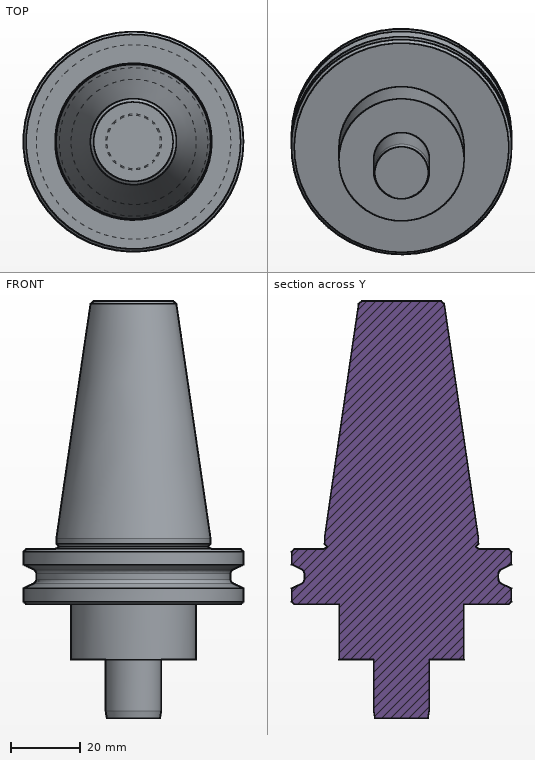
import cadquery as cq
import math

TOTAL_HEIGHT = 120.2

PIN_RADIUS = 8.0
PIN_TIP_RADIUS = 7.7
PIN_TIP_HEIGHT = 2.2

COLLAR_RADIUS = 18.0
COLLAR_BOTTOM = 17.0

FLANGE_RADIUS = 31.7
FLANGE_BOTTOM = 32.8
FLANGE_HEIGHT = 16.0
FLANGE_CHAMFER = 0.8
GROOVE_RADIUS = 28.0
GROOVE_MIDDLE = 40.9
GROOVE_WIDTH = 6.9
GROOVE_WALL_ANGLE = 26.0
GROOVE_FILLET = 1.2

LAND_RADIUS = 22.2
LAND_BOTTOM = 50.3
LAND_TOP = 52.0
RELIEF_RADIUS = 21.4
RELIEF_BOTTOM_RADIUS = 22.6
RELIEF_MIDDLE = 49.4
TAPER_RATIO = 7 / 24
END_CHAMFER = 0.8

flange_top = FLANGE_BOTTOM + FLANGE_HEIGHT
taper_end_radius = LAND_RADIUS - (TOTAL_HEIGHT - LAND_TOP) * TAPER_RATIO / 2


def cylinder(radius, bottom, top):
    return cq.Workplane("XY").workplane(offset=bottom).circle(radius).extrude(top - bottom)


def revolve_profile(points):
    """Revolve a closed outline of (radius, height) points about Z."""
    return cq.Workplane("XZ").polyline(points).close().revolve(360, (0, 0, 0), (0, 1, 0))


def make_pin():
    return revolve_profile([
        (0, 0),
        (PIN_TIP_RADIUS, 0),
        (PIN_RADIUS, PIN_TIP_HEIGHT),
        (PIN_RADIUS, COLLAR_BOTTOM),
        (0, COLLAR_BOTTOM),
    ])


def make_flange():
    blank = cylinder(FLANGE_RADIUS, FLANGE_BOTTOM, flange_top).edges().chamfer(FLANGE_CHAMFER)
    return blank.cut(make_groove_cutter())


def make_groove_cutter():
    """Ring with sloping sides and rounded inner corners."""
    depth = FLANGE_RADIUS - GROOVE_RADIUS
    half_mouth = GROOVE_WIDTH / 2
    half_root = half_mouth - depth * math.tan(math.radians(GROOVE_WALL_ANGLE))
    ring = revolve_profile([
        (FLANGE_RADIUS, GROOVE_MIDDLE - half_mouth),
        (FLANGE_RADIUS, GROOVE_MIDDLE + half_mouth),
        (GROOVE_RADIUS, GROOVE_MIDDLE + half_root),
        (GROOVE_RADIUS, GROOVE_MIDDLE - half_root),
    ])
    root_edges = cq.selectors.RadiusNthSelector(0)
    return ring.edges("%CIRCLE").edges(root_edges).fillet(GROOVE_FILLET)


def make_taper():
    body = revolve_profile([
        (0, flange_top),
        (RELIEF_BOTTOM_RADIUS, flange_top),
        (RELIEF_RADIUS, RELIEF_MIDDLE),
        (LAND_RADIUS, LAND_BOTTOM),
        (LAND_RADIUS, LAND_TOP),
        (taper_end_radius, TOTAL_HEIGHT),
        (0, TOTAL_HEIGHT),
    ])
    return body.faces(">Z").edges().chamfer(END_CHAMFER)


collar = cylinder(COLLAR_RADIUS, COLLAR_BOTTOM, FLANGE_BOTTOM)
result = make_pin().union(collar).union(make_flange()).union(make_taper())